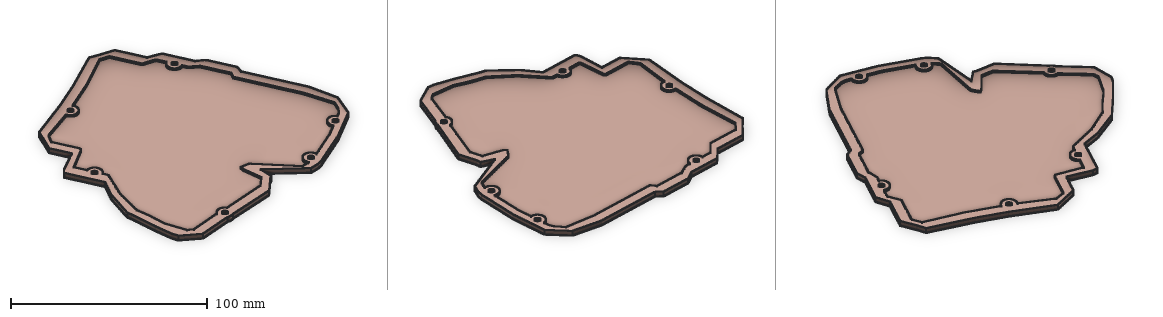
import cadquery as cq

WIDTH = 142.63
LENGTH = 148.22
THICKNESS = 3.0

POCKET_DEPTH = 1.0

BOSS_DIAMETER = 8.5
HOLE_DIAMETER = 3.0

LEFT = -WIDTH / 2
RIGHT = WIDTH / 2
BACK = LENGTH / 2
FRONT = -LENGTH / 2

BACK_STEP = 71.2
BACK_LEFT_STEP = 65.3
FRONT_STEP = -44.0
FRONT_LEFT_STEP = -26.7
LEFT_WAIST = -69.9

POCKET_BACK = 68.2
POCKET_BACK_STEP = 65.3
POCKET_BACK_LEFT_STEP = 59.3
POCKET_FRONT_STEP = -37.6
POCKET_FRONT_LEFT_STEP = -21.2
POCKET_RIGHT = 66.8
POCKET_LEFT_WAIST = -63.9

PLATE_OUTLINE = [
    (LEFT, 54.5),
    (-67.6, 58.3),
    (-61.5, BACK_LEFT_STEP),
    (-43.9, BACK_LEFT_STEP),
    (-38.0, BACK_STEP),
    (-20.1, BACK_STEP),
    (-15.3, BACK),
    (1.8, BACK),
    (5.1, BACK_STEP),
    (42.1, BACK_STEP),
    (59.1, 67.7),
    (68.8, 57.5),
    (RIGHT, 36.7),
    (RIGHT, 13.0),
    (70.9, 10.3),
    (68.8, 5.3),
    (45.1, -5.0),
    (52.4, -8.1),
    (52.7, -10.5),
    (56.0, -20.7),
    (46.3, -46.4),
    (45.5, -47.7),
    (38.3, -68.1),
    (27.4, FRONT),
    (23.6, -73.7),
    (13.2, -70.6),
    (-1.7, -65.4),
    (-4.1, -64.8),
    (-17.3, -53.2),
    (-24.3, FRONT_STEP),
    (-46.6, FRONT_STEP),
    (-47.8, -41.3),
    (-49.1, FRONT_LEFT_STEP),
    (-61.5, FRONT_LEFT_STEP),
    (LEFT, -15.4),
    (LEFT_WAIST, 10.4),
    (LEFT_WAIST, 28.2),
]

POCKET_OUTLINE = [
    (-65.8, 55.0),
    (-62.1, POCKET_BACK_LEFT_STEP),
    (-44.3, POCKET_BACK_LEFT_STEP),
    (-39.0, POCKET_BACK_STEP),
    (-21.6, POCKET_BACK_STEP),
    (-16.1, POCKET_BACK),
    (0.9, POCKET_BACK),
    (3.0, POCKET_BACK_STEP),
    (41.6, POCKET_BACK_STEP),
    (59.1, 63.1),
    (63.1, 58.5),
    (64.3, 55.8),
    (65.6, 45.6),
    (POCKET_RIGHT, 35.7),
    (POCKET_RIGHT, 11.9),
    (64.1, 5.3),
    (38.0, -2.5),
    (35.1, -6.7),
    (37.3, -8.1),
    (48.1, -11.3),
    (50.3, -18.2),
    (41.0, -43.9),
    (38.9, -48.0),
    (32.7, -66.0),
    (29.7, -67.9),
    (16.9, -66.7),
    (7.0, -63.0),
    (-0.5, -60.9),
    (-13.2, -51.0),
    (-24.9, POCKET_FRONT_STEP),
    (-43.9, POCKET_FRONT_STEP),
    (-45.9, -21.9),
    (-46.7, POCKET_FRONT_LEFT_STEP),
    (-62.3, POCKET_FRONT_LEFT_STEP),
    (-65.9, -16.3),
    (POCKET_LEFT_WAIST, 6.9),
    (POCKET_LEFT_WAIST, 32.2),
]

SCREW_POSITIONS = [
    (-29.0, 65.3),
    (-63.4, 8.1),
    (65.3, 48.4),
    (65.3, 14.0),
    (-32.4, -38.1),
    (42.0, -46.6),
]


def make_plate():
    return cq.Workplane("XY").polyline(PLATE_OUTLINE).close().extrude(THICKNESS)


def make_pocket():
    floor = cq.Workplane("XY").workplane(offset=THICKNESS - POCKET_DEPTH)
    return floor.polyline(POCKET_OUTLINE).close().extrude(POCKET_DEPTH)


def make_cylinders(diameter):
    """Cylinders as tall as the plate, one at every screw position."""
    return cq.Workplane("XY").pushPoints(SCREW_POSITIONS).circle(diameter / 2).extrude(THICKNESS)


result = make_plate().cut(make_pocket())
result = result.union(make_cylinders(BOSS_DIAMETER))
result = result.cut(make_cylinders(HOLE_DIAMETER))